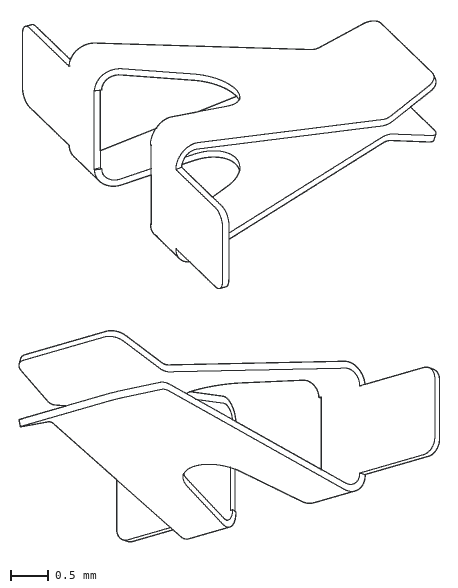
import cadquery as cq
import math

thickness = 0.1
length_x = 5.75
depth_y = 4.37
height_z = 1.84

inner_radius = 0.2
outer_radius = inner_radius + thickness

tab_half_height = height_z / 2 - outer_radius
tab_gap = 1.64
tab_corner_radius = 0.2

throat_gap = 0.16
throat_y = 3.475
lip_angle = math.radians(21.5)
lip_corner_radius = 0.2
arm_back_width = 3.065
arm_tip_width = 1.805

slot_end_y = 1.725
slot_radius = 0.49
slot_side_angle = math.radians(13.6)

back_center = (outer_radius, tab_half_height)
throat_center = (throat_y, throat_gap / 2 + outer_radius)

center_dy = throat_center[0] - back_center[0]
center_dz = throat_center[1] - back_center[1]
arm_angle = math.asin((outer_radius + inner_radius) / math.hypot(center_dy, center_dz)) - math.atan2(
    center_dz, center_dy
)

lip_length = (depth_y - throat_y - outer_radius * math.sin(lip_angle)) / math.cos(lip_angle)


def on_circle(center, radius, angle):
    """Point on a circle, with the angle measured from +Z toward +Y."""
    return (center[0] + radius * math.sin(angle), center[1] + radius * math.cos(angle))


def along_lip(point):
    """Point moved from the throat bend to the lip tip."""
    return (point[0] + lip_length * math.cos(lip_angle), point[1] + lip_length * math.sin(lip_angle))


def make_upper_strip():
    """Upper half of the bent strip, extruded over the full arm width."""
    back_middle = (arm_angle - math.pi / 2) / 2
    throat_start = math.pi + arm_angle
    throat_end = math.pi - lip_angle
    throat_middle = (throat_start + throat_end) / 2
    lip_top = on_circle(throat_center, inner_radius, throat_end)
    lip_bottom = on_circle(throat_center, outer_radius, throat_end)
    return (
        cq.Workplane("YZ")
        .moveTo(0, 0)
        .lineTo(0, tab_half_height)
        .threePointArc(
            on_circle(back_center, outer_radius, back_middle),
            on_circle(back_center, outer_radius, arm_angle),
        )
        .lineTo(*on_circle(throat_center, inner_radius, throat_start))
        .threePointArc(on_circle(throat_center, inner_radius, throat_middle), lip_top)
        .lineTo(*along_lip(lip_top))
        .lineTo(*along_lip(lip_bottom))
        .lineTo(*lip_bottom)
        .threePointArc(
            on_circle(throat_center, outer_radius, throat_middle),
            on_circle(throat_center, outer_radius, throat_start),
        )
        .lineTo(*on_circle(back_center, inner_radius, arm_angle))
        .threePointArc(
            on_circle(back_center, inner_radius, back_middle),
            (thickness, tab_half_height),
        )
        .lineTo(thickness, 0)
        .close()
        .extrude(arm_back_width / 2, both=True)
    )


def make_taper():
    """Prism that trims the strip to its tapered plan outline."""
    back = arm_back_width / 2
    tip = arm_tip_width / 2
    return (
        cq.Workplane("XY")
        .polyline([(-back, 0), (back, 0), (tip, depth_y), (-tip, depth_y)])
        .close()
        .extrude(height_z, both=True)
    )


def make_slot():
    """Prism for the round-ended slot that widens toward the back."""
    end_center_y = slot_end_y - slot_radius
    tangent_x = slot_radius * math.cos(slot_side_angle)
    tangent_y = end_center_y + slot_radius * math.sin(slot_side_angle)
    mouth_x = tangent_x + tangent_y * math.tan(slot_side_angle)
    return (
        cq.Workplane("XY")
        .moveTo(-mouth_x, 0)
        .lineTo(mouth_x, 0)
        .lineTo(tangent_x, tangent_y)
        .threePointArc((0, slot_end_y), (-tangent_x, tangent_y))
        .close()
        .extrude(height_z, both=True)
    )


def make_arm():
    """Upper arm with its two back bends and rounded lip corners."""
    arm = make_upper_strip().intersect(make_taper()).cut(make_slot())
    lip_direction = cq.Vector(0, math.cos(lip_angle), math.sin(lip_angle))
    lip_end = arm.faces(cq.selectors.DirectionMinMaxSelector(lip_direction, True))
    side_edges = lip_end.edges("not |X")
    return side_edges.fillet(lip_corner_radius)


def make_tab(side):
    """Flat back tab on one side, with its two outer corners rounded."""
    tab_width = (length_x - tab_gap) / 2
    tab_center_x = side * (tab_gap + tab_width) / 2
    return (
        cq.Workplane("XY")
        .box(tab_width, thickness, 2 * tab_half_height)
        .edges("|Y and >X" if side > 0 else "|Y and <X")
        .fillet(tab_corner_radius)
        .translate((tab_center_x, thickness / 2, 0))
    )


tab_opening = cq.Workplane("XY").box(tab_gap, 2 * thickness, 2 * tab_half_height)

upper_arm = make_arm()
lower_arm = upper_arm.mirror("XY")
result = upper_arm.union(lower_arm).cut(tab_opening)
for side in (-1, 1):
    result = result.union(make_tab(side))